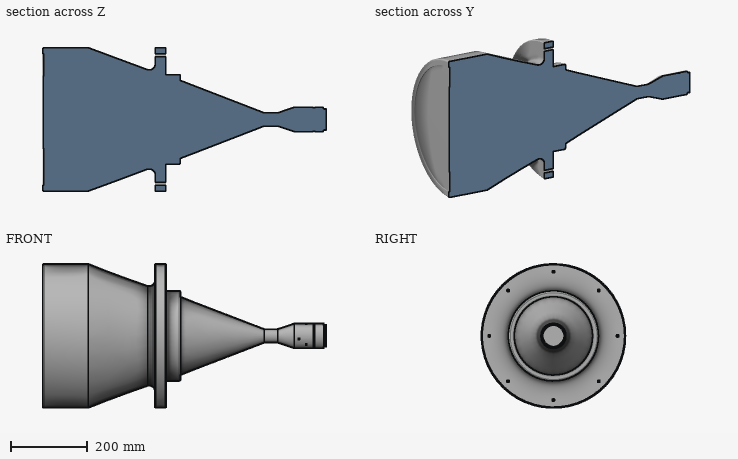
import cadquery as cq
import math


overall_length = 741.0
barrel_end = 118.5
taper_end = 274.0
flange_start = 293.0
flange_end = 322.0
hub_end = 360.0
cone_end = 578.5
neck_end = 613.0
mount_start = 657.0
mount_end = 733.0

barrel_radius = 188.0
waist_radius = 130.0
hub_radius = 118.0
cone_start_radius = 102.0
neck_radius = 18.0
mount_radius = 32.5
thread_radius = 29.0

barrel_edge_fillet = 4.5
flange_edge_chamfer = 2.0
flange_root_fillet = 14.0
hub_edge_fillet = 4.5

window_radius = 171.0
window_edge_depth = 3.0
window_crown_depth = 1.0

flange_hole_count = 8
flange_hole_circle_radius = 167.5
flange_hole_diameter = 6.0

ring_groove_start = 706.0
ring_groove_width = 4.5
ring_groove_depth = 1.0
thread_groove_start = 735.5
thread_groove_width = 2.0
thread_groove_depth = 1.5

screw_count = 3
screw_diameter = 4.0
screw_depth = 4.0
front_screw_station = 669.0
front_screw_angle = 75.0
rear_screw_station = 688.0
rear_screw_angle = 105.0


def make_body():
    """Revolve the half outline of the barrel about the X axis."""
    fillet_diagonal = 1 - math.sqrt(0.5)
    barrel_arc_middle = (
        barrel_edge_fillet * fillet_diagonal,
        barrel_radius - barrel_edge_fillet * fillet_diagonal,
    )
    hub_arc_middle = (
        hub_end - hub_edge_fillet * fillet_diagonal,
        hub_radius - hub_edge_fillet * fillet_diagonal,
    )
    root_start = flange_start - flange_root_fillet
    root_arc_middle = (
        root_start + flange_root_fillet * math.sqrt(0.5),
        waist_radius + flange_root_fillet * fillet_diagonal,
    )
    outline = (
        cq.Workplane("XY")
        .moveTo(window_crown_depth, 0)
        .threePointArc(window_arc_middle(), (window_edge_depth, window_radius))
        .lineTo(0, window_radius)
        .lineTo(0, barrel_radius - barrel_edge_fillet)
        .threePointArc(barrel_arc_middle, (barrel_edge_fillet, barrel_radius))
        .lineTo(barrel_end, barrel_radius)
        .lineTo(taper_end, waist_radius)
        .lineTo(root_start, waist_radius)
        .threePointArc(root_arc_middle, (flange_start, waist_radius + flange_root_fillet))
        .lineTo(flange_start, barrel_radius - flange_edge_chamfer)
        .lineTo(flange_start + flange_edge_chamfer, barrel_radius)
        .lineTo(flange_end - flange_edge_chamfer, barrel_radius)
        .lineTo(flange_end, barrel_radius - flange_edge_chamfer)
        .lineTo(flange_end, hub_radius)
        .lineTo(hub_end - hub_edge_fillet, hub_radius)
        .threePointArc(hub_arc_middle, (hub_end, hub_radius - hub_edge_fillet))
        .lineTo(hub_end, cone_start_radius)
        .lineTo(cone_end, neck_radius)
        .lineTo(neck_end, neck_radius)
        .lineTo(mount_start, mount_radius)
        .lineTo(mount_end, mount_radius)
        .lineTo(mount_end, thread_radius)
        .lineTo(overall_length, thread_radius)
        .lineTo(overall_length, 0)
        .close()
    )
    return outline.revolve(360, (0, 0, 0), (1, 0, 0))


def window_arc_middle():
    """Point halfway out along the domed glass, which is a spherical cap."""
    crown_height = window_edge_depth - window_crown_depth
    dome_radius = (window_radius**2 + crown_height**2) / (2 * crown_height)
    half_angle = math.asin(window_radius / dome_radius) / 2
    return (
        window_crown_depth + dome_radius * (1 - math.cos(half_angle)),
        dome_radius * math.sin(half_angle),
    )


def groove(start, width, surface_radius, depth):
    """Ring to cut a square groove into a cylinder of the given radius."""
    return (
        cq.Workplane("YZ", origin=(start, 0, 0))
        .circle(surface_radius + depth)
        .circle(surface_radius - depth)
        .extrude(width)
    )


def flange_holes():
    """Evenly spaced through holes around the flange."""
    return (
        cq.Workplane("YZ", origin=(flange_start, 0, 0))
        .polarArray(flange_hole_circle_radius, 0, 360, flange_hole_count)
        .circle(flange_hole_diameter / 2)
        .extrude(flange_end - flange_start)
    )


def screw_holes(station, first_angle):
    """Evenly spaced radial blind holes; the angle runs from +Y towards +Z."""
    holes = cq.Workplane("XY")
    for index in range(screw_count):
        angle = first_angle + index * 360 / screw_count
        hole = (
            cq.Workplane("XZ", origin=(station, mount_radius - screw_depth, 0))
            .circle(screw_diameter / 2)
            .extrude(-2 * screw_depth)
            .rotate((0, 0, 0), (1, 0, 0), angle)
        )
        holes = holes.add(hole)
    return holes.combine()


result = (
    make_body()
    .cut(groove(ring_groove_start, ring_groove_width, mount_radius, ring_groove_depth))
    .cut(groove(thread_groove_start, thread_groove_width, thread_radius, thread_groove_depth))
    .cut(flange_holes())
    .cut(screw_holes(front_screw_station, front_screw_angle))
    .cut(screw_holes(rear_screw_station, rear_screw_angle))
)